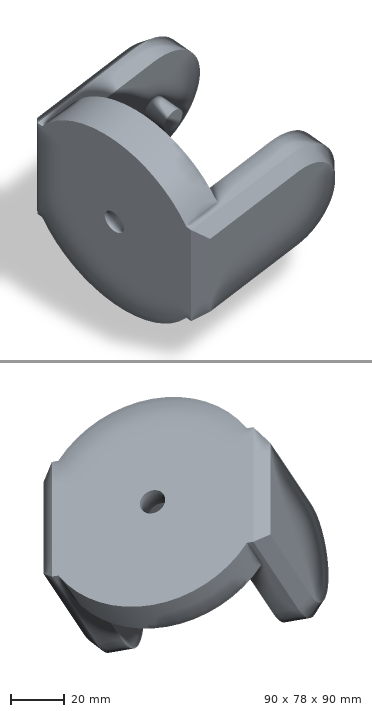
import cadquery as cq

disc_diameter = 90.0
disc_thickness = 17.0
arm_length = 78.0
arm_width = 50.0
arm_thickness = 15.0
arm_chamfer = 5.0
pin_diameter = 10.0
pin_length = 10.0
hole_diameter = 10.0
hole_depth = 10.0

disc_radius = disc_diameter / 2
arm_radius = arm_width / 2
arm_inner_x = disc_radius - arm_thickness
tip_center_y = arm_length - arm_radius
disc_trim_x = (disc_radius**2 - arm_radius**2) ** 0.5


def make_left_arm():
    """Round-ended plate on the -X side with its outer face chamfered all round."""
    return (
        cq.Workplane("YZ", origin=(-disc_radius, 0, 0))
        .moveTo(0, -arm_radius)
        .lineTo(tip_center_y, -arm_radius)
        .threePointArc((arm_length, 0), (tip_center_y, arm_radius))
        .lineTo(0, arm_radius)
        .close()
        .extrude(arm_thickness)
        .faces("<X")
        .chamfer(arm_chamfer)
    )


def make_disc():
    """Disc in the XZ plane with flat sides between the arms."""
    disc = cq.Workplane("XZ").circle(disc_radius).extrude(-disc_thickness)
    trim = cq.Workplane("XZ").rect(2 * disc_trim_x, disc_diameter).extrude(-disc_thickness)
    return disc.intersect(trim)


def make_pin():
    """Pin pointing inward from the left arm, on the axis of its round end."""
    return (
        cq.Workplane("YZ", origin=(-arm_inner_x, 0, 0))
        .center(tip_center_y, 0)
        .circle(pin_diameter / 2)
        .extrude(pin_length)
    )


left_arm = make_left_arm()
right_arm = left_arm.mirror("YZ")
center_hole = cq.Workplane("XZ").circle(hole_diameter / 2).extrude(-hole_depth)

result = make_disc().union(left_arm).union(right_arm).union(make_pin()).cut(center_hole)